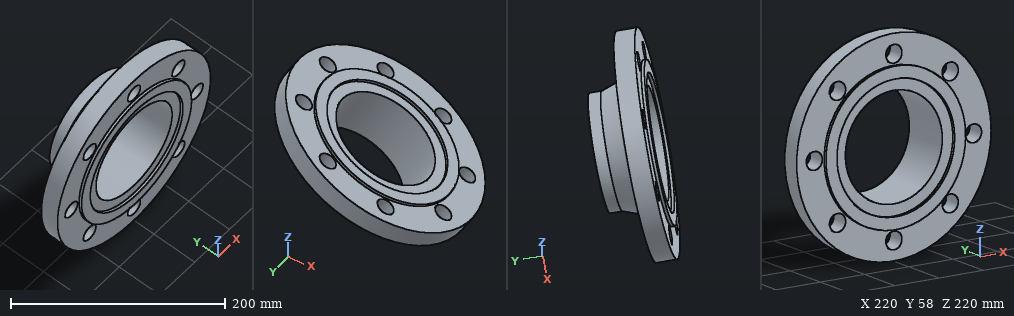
import cadquery as cq
import math

flange_diameter = 220.0
overall_length = 58.0
bore_diameter = 109.3

face_diameter = 158.0
face_height = 3.0
plate_thickness = 20.0
recess_diameter = 133.0
recess_depth = 3.0

neck_diameter = 114.5
neck_straight_length = 12.0
hub_base_diameter = 131.0
hub_fillet_radius = 8.0

bolt_circle_diameter = 180.0
bolt_hole_diameter = 18.0
bolt_count = 8

plate_back = face_height + plate_thickness
cone_end = overall_length - neck_straight_length


def disc(diameter, start, length):
    """Cylinder about the Y axis, running from start towards +Y."""
    plane = cq.Workplane("XZ", origin=(0, start, 0))
    return plane.circle(diameter / 2).extrude(-length)


def weld_neck():
    """Tapered hub, straight weld end and the concave fillet at the plate."""
    base_radius = hub_base_diameter / 2
    neck_radius = neck_diameter / 2
    taper = math.atan2(base_radius - neck_radius, cone_end - plate_back)

    bend_angle = math.pi / 2 - taper
    tangent_length = hub_fillet_radius * math.tan(bend_angle / 2)
    cone_tangent = (
        base_radius - tangent_length * math.sin(taper),
        plate_back + tangent_length * math.cos(taper),
    )
    plate_tangent = (base_radius + tangent_length, plate_back)
    arc_center = (plate_tangent[0], plate_back + hub_fillet_radius)
    middle_angle = 1.5 * math.pi - bend_angle / 2
    arc_middle = (
        arc_center[0] + hub_fillet_radius * math.cos(middle_angle),
        arc_center[1] + hub_fillet_radius * math.sin(middle_angle),
    )
    return (
        cq.Workplane("XY")
        .moveTo(0, face_height)
        .lineTo(plate_tangent[0], face_height)
        .lineTo(*plate_tangent)
        .threePointArc(arc_middle, cone_tangent)
        .lineTo(neck_radius, cone_end)
        .lineTo(neck_radius, overall_length)
        .lineTo(0, overall_length)
        .close()
        .revolve(360, (0, 0, 0), (0, 1, 0))
    )


def bolt_holes():
    """Ring of through holes with one on the X axis."""
    return (
        cq.Workplane("XZ", origin=(0, face_height, 0))
        .polarArray(bolt_circle_diameter / 2, 0, 360, bolt_count)
        .circle(bolt_hole_diameter / 2)
        .extrude(-plate_thickness)
    )


body = disc(face_diameter, 0, plate_back)
body = body.union(disc(flange_diameter, face_height, plate_thickness))
body = body.union(weld_neck())
body = body.cut(disc(bore_diameter, 0, overall_length))
body = body.cut(disc(recess_diameter, 0, recess_depth))
result = body.cut(bolt_holes())